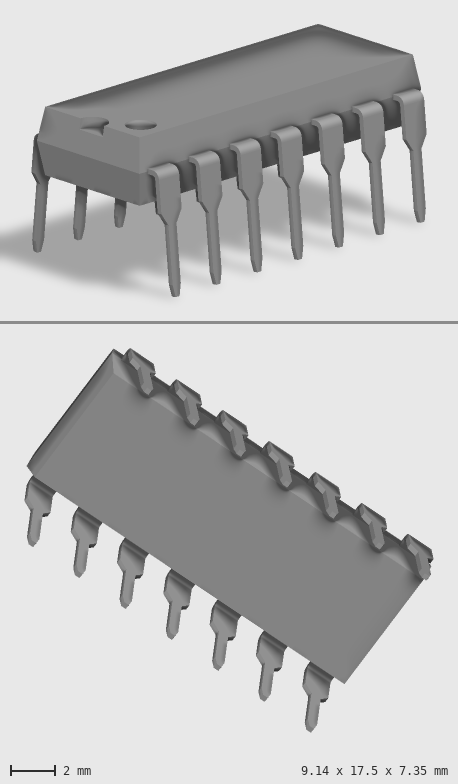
import cadquery as cq
import math


body_length = 17.5
body_width = 6.6
body_top = 1.6
body_bottom = 1.63
taper_inset = 0.26

notch_radius = 0.75
notch_depth = 0.5
dimple_radius = 0.72
dimple_depth = 0.6
dimple_x = 1.78
dimple_end_gap = 1.54

leads_per_side = 7
lead_pitch = 2.54
lead_span = 9.14
overall_height = 7.35
lead_thickness = 0.25
shoulder_width = 1.26
pin_width = 0.5
tip_width = 0.25
bend_inner_radius = 0.15
splay_angle = 5.7
root_depth = 0.52

shoulder_length = 1.58
shoulder_taper_length = 0.6
tip_taper_length = 0.58

splay = math.radians(splay_angle)
bend_outer_radius = bend_inner_radius + lead_thickness
bend_center_z = lead_thickness / 2 - bend_outer_radius
tip_z = body_top - overall_height
leg_length = (bend_center_z + bend_inner_radius * math.sin(splay) - tip_z) / math.cos(splay)
bend_center_x = (
    lead_span / 2 - bend_outer_radius * math.cos(splay) - leg_length * math.sin(splay)
)


def tapered_half(height):
    """Half of the body, narrowing from the parting plane over a signed height."""
    return (
        cq.Workplane("XY")
        .rect(body_width, body_length)
        .workplane(offset=height)
        .rect(body_width - 2 * taper_inset, body_length - 2 * taper_inset)
        .loft(ruled=True)
    )


def make_notch():
    """Upright cylinder centred on the end edge of the top face."""
    edge_y = -(body_length / 2 - taper_inset)
    return (
        cq.Workplane("XY", origin=(0, edge_y, body_top - notch_depth))
        .circle(notch_radius)
        .extrude(notch_depth)
    )


def make_dimple():
    """Ball whose cap below the top face has the dimple's radius and depth."""
    ball_radius = (dimple_radius**2 + dimple_depth**2) / (2 * dimple_depth)
    ball_z = body_top - dimple_depth + ball_radius
    dimple_y = -(body_length / 2 - dimple_end_gap)
    return cq.Workplane("XY").sphere(ball_radius).translate((dimple_x, dimple_y, ball_z))


def bend_point(radius, angle):
    """XZ point on the bend, with the angle in radians above the X axis."""
    return (
        bend_center_x + radius * math.cos(angle),
        bend_center_z + radius * math.sin(angle),
    )


def make_arm_and_bend():
    """Flat arm leaving the body and the bend that turns it downwards."""
    root_x = body_width / 2 - root_depth
    bend_start = math.pi / 2
    bend_middle = (bend_start + splay) / 2
    return (
        cq.Workplane("XZ")
        .moveTo(root_x, lead_thickness / 2)
        .lineTo(*bend_point(bend_outer_radius, bend_start))
        .threePointArc(
            bend_point(bend_outer_radius, bend_middle),
            bend_point(bend_outer_radius, splay),
        )
        .lineTo(*bend_point(bend_inner_radius, splay))
        .threePointArc(
            bend_point(bend_inner_radius, bend_middle),
            bend_point(bend_inner_radius, bend_start),
        )
        .lineTo(root_x, -lead_thickness / 2)
        .close()
        .extrude(shoulder_width / 2, both=True)
    )


def make_leg():
    """Splayed leg: wide shoulder, narrow pin and pointed tip in one flat sheet."""
    leg_x, leg_z = bend_point(bend_inner_radius, splay)
    leg_plane = cq.Plane(
        origin=(leg_x, 0, leg_z),
        xDir=(0, 1, 0),
        normal=(math.cos(splay), 0, math.sin(splay)),
    )
    right_side = [
        (shoulder_width / 2, 0),
        (shoulder_width / 2, -shoulder_length),
        (pin_width / 2, -shoulder_length - shoulder_taper_length),
        (pin_width / 2, tip_taper_length - leg_length),
        (tip_width / 2, -leg_length),
    ]
    left_side = [(-x, y) for x, y in reversed(right_side)]
    return cq.Workplane(leg_plane).polyline(right_side + left_side).close().extrude(lead_thickness)


body = tapered_half(body_top).union(tapered_half(-body_bottom))

right_lead = make_arm_and_bend().union(make_leg())
left_lead = right_lead.mirror("YZ")

result = body.cut(make_notch()).cut(make_dimple())
for index in range(leads_per_side):
    lead_y = (index - (leads_per_side - 1) / 2) * lead_pitch
    for lead in (right_lead, left_lead):
        result = result.union(lead.translate((0, lead_y, 0)))